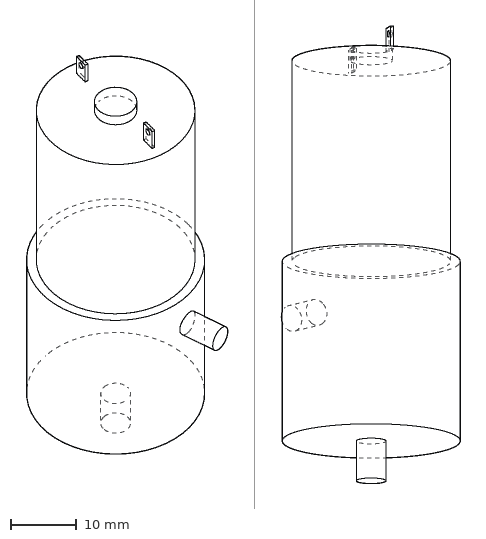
import cadquery as cq

head_diameter = 27.0
head_height = 27.8
bottom_port_diameter = 4.5
bottom_port_length = 6.15
side_port_diameter = 4.0
side_port_reach = 19.5
side_port_angle = 20
side_port_drop = 5.8

motor_diameter = 24.1
motor_height = 31.0
boss_diameter = 6.4
boss_height = 1.8

terminal_spacing = 17.9
terminal_width = 2.3
terminal_thickness = 0.5
terminal_height = 3.5
terminal_hole_diameter = 0.95
terminal_hole_drop = 1.0

head_top = head_height
motor_top = head_top + motor_height


def cylinder(diameter, length, base_z):
    """Upright cylinder on the main axis, growing up from base_z."""
    return cq.Workplane("XY").workplane(offset=base_z).circle(diameter / 2).extrude(length)


def make_side_port():
    """Horizontal port that points outward from the main axis."""
    return (
        cq.Workplane("YZ")
        .center(0, head_top - side_port_drop)
        .circle(side_port_diameter / 2)
        .extrude(side_port_reach)
        .rotate((0, 0, 0), (0, 0, 1), side_port_angle)
    )


def make_head():
    head = cylinder(head_diameter, head_height, 0)
    bottom_port = cylinder(bottom_port_diameter, bottom_port_length, -bottom_port_length)
    return head.union(bottom_port).union(make_side_port())


def make_terminal(x):
    """Flat upright tab with a hole through its thickness."""
    tab = (
        cq.Workplane("XY")
        .box(terminal_width, terminal_thickness, terminal_height, centered=(True, True, False))
        .translate((x, 0, motor_top))
    )
    hole = (
        cq.Workplane("XZ")
        .center(x, motor_top + terminal_height - terminal_hole_drop)
        .circle(terminal_hole_diameter / 2)
        .extrude(terminal_thickness, both=True)
    )
    return tab.cut(hole)


def make_motor():
    motor = cylinder(motor_diameter, motor_height, head_top)
    motor = motor.union(cylinder(boss_diameter, boss_height, motor_top))
    for side in (-1, 1):
        motor = motor.union(make_terminal(side * terminal_spacing / 2))
    return motor


head = make_head()
motor = make_motor()

result = cq.Compound.makeCompound([head.val(), motor.val()])